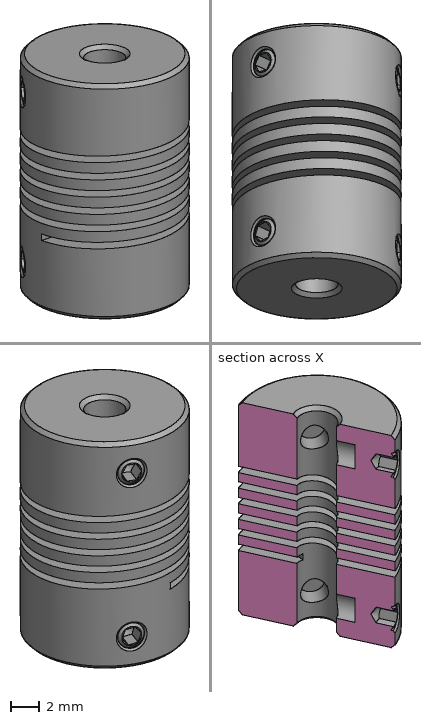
import cadquery as cq
import math

body_diameter = 12.0
body_length = 18.0
bore_diameter = 3.0
edge_chamfer = 0.3

slot_pitch = 1.32
slot_height = 0.5
slot_start_height = -3.44
slot_start_angle = -118.0
slot_end_angle = 39.0
slot_full_turns = 5
slot_overrun = 0.4
slot_pieces = 3

screw_end_distance = 2.5
screw_angles = (-150.0, 90.0)
screw_diameter = 2.0
screw_length = 3.0
screw_recess = 0.1
screw_land_diameter = 1.5
screw_chamfer_depth = 0.2
hole_chamfer = 0.15
socket_across_flats = 1.27
socket_depth = 1.3
drill_tip_angle = 118.0
upper_socket_turn = 0.0
lower_socket_turn = 10.0

body_radius = body_diameter / 2
bore_radius = bore_diameter / 2
screw_offset = body_length / 2 - screw_end_distance
screw_rows = (
    (screw_offset, upper_socket_turn),
    (-screw_offset, lower_socket_turn),
)


def make_body():
    """Bored cylinder, centred on the origin, with every end edge chamfered."""
    blank = cq.Workplane("XY").circle(body_radius).circle(bore_radius).extrude(body_length / 2, both=True)
    return blank.faces("<Z or >Z").edges().chamfer(edge_chamfer)


def make_slot_pieces():
    """Right-handed helical cutters, laid end to end, with radial end walls, reaching the bore."""
    turns = slot_full_turns + (slot_end_angle - slot_start_angle) / 360
    piece_rise = turns * slot_pitch / slot_pieces
    piece_angle = 360 * turns / slot_pieces
    inner_radius = bore_radius - slot_overrun
    outer_radius = body_radius + slot_overrun
    path = cq.Workplane(cq.Wire.makeHelix(slot_pitch, piece_rise, body_radius))
    section = (
        cq.Workplane("XZ")
        .center((inner_radius + outer_radius) / 2, 0)
        .rect(outer_radius - inner_radius, slot_height)
    )
    piece = section.sweep(path, isFrenet=True)
    return [
        piece.rotate((0, 0, 0), (0, 0, 1), slot_start_angle + index * piece_angle)
        .translate((0, 0, index * piece_rise + slot_start_height))
        for index in range(slot_pieces)
    ]


def radial_plane(angle, height, distance):
    """Plane facing outward at the given angle, its x direction running around the body."""
    cosine = math.cos(math.radians(angle))
    sine = math.sin(math.radians(angle))
    return cq.Plane(
        origin=(distance * cosine, distance * sine, height),
        xDir=(-sine, cosine, 0),
        normal=(cosine, sine, 0),
    )


def make_screw_hole(angle, height):
    """Cutter running from the axis out past the body surface."""
    return (
        cq.Workplane(radial_plane(angle, height, 0))
        .circle(screw_diameter / 2)
        .extrude(body_radius + slot_overrun)
    )


def hole_mouth(angle, height):
    """Selector for the rim where a screw hole meets the outer surface."""
    mouth = radial_plane(angle, height, body_radius).origin
    return cq.selectors.BoxSelector(
        (mouth.x - screw_diameter / 2, mouth.y - screw_diameter / 2, mouth.z - screw_diameter / 2),
        (mouth.x + screw_diameter / 2, mouth.y + screw_diameter / 2, mouth.z + screw_diameter / 2),
    )


def make_socket(angle, height, turn):
    """Hexagon socket whose floor is the cone left by its pilot drill."""
    top = cq.Workplane(radial_plane(angle, height, body_radius - screw_recess))
    corner_radius = socket_across_flats / 2 / math.cos(math.pi / 6)
    tip_depth = corner_radius / math.tan(math.radians(drill_tip_angle / 2))
    hexagon = (
        top.transformed(rotate=(0, 0, turn))
        .polygon(6, 2 * corner_radius)
        .extrude(-socket_depth - tip_depth)
    )
    floor = radial_plane(angle, height, body_radius - screw_recess - socket_depth)
    drill_tip = cq.Solid.makeCone(corner_radius, 0, tip_depth, floor.origin, -floor.zDir)
    drill = top.circle(corner_radius).extrude(-socket_depth).union(cq.Workplane(drill_tip))
    return hexagon.intersect(drill)


def make_screw(angle, height):
    """Set screw with a chamfered outer end, before its socket is cut."""
    top = cq.Workplane(radial_plane(angle, height, body_radius - screw_recess))
    shank = (
        top.workplane(offset=-screw_chamfer_depth)
        .circle(screw_diameter / 2)
        .extrude(screw_chamfer_depth - screw_length)
    )
    outer_end = (
        top.circle(screw_land_diameter / 2)
        .workplane(offset=-screw_chamfer_depth)
        .circle(screw_diameter / 2)
        .loft(ruled=True)
    )
    return shank.union(outer_end)


result = make_body()
for screw_angle in screw_angles:
    for screw_height, socket_turn in screw_rows:
        result = result.cut(make_screw_hole(screw_angle, screw_height))
        result = result.edges(hole_mouth(screw_angle, screw_height)).chamfer(hole_chamfer)
        result = result.union(make_screw(screw_angle, screw_height))
        result = result.cut(make_socket(screw_angle, screw_height, socket_turn))
for slot_piece in make_slot_pieces():
    result = result.cut(slot_piece)